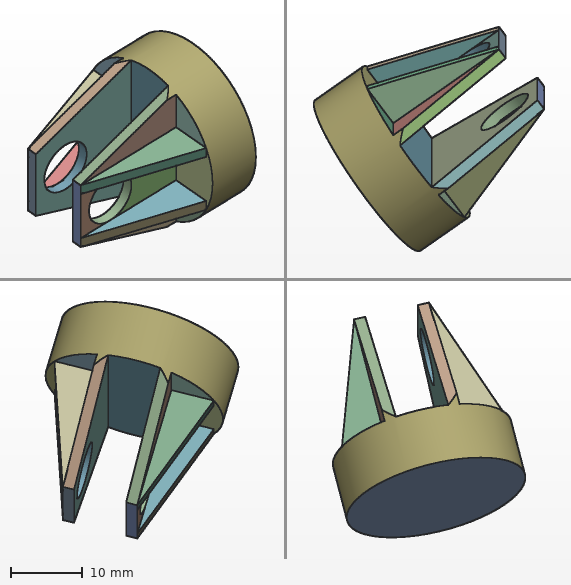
import cadquery as cq
import math

total_length = 26.52
disc_diameter = 25.65
disc_thickness = 8.3
wall = 1.62
lug_gap = 7.5
pin_diameter = 8.1

disc_radius = disc_diameter / 2
lug_length = total_length - disc_thickness
lug_inner = lug_gap / 2
lug_outer = lug_inner + wall
rib_inner = pin_diameter / 2
tip_half_height = rib_inner + wall
pin_y = tip_half_height - lug_length
lug_root_half_height = math.sqrt(disc_radius**2 - lug_inner**2)
rib_root_half_width = math.sqrt(disc_radius**2 - tip_half_height**2)


def cylinder_along_y(start_y, length):
    """Cylinder of the disc's diameter, from start_y toward +Y."""
    return cq.Workplane("XZ", origin=(0, start_y, 0)).circle(disc_radius).extrude(-length)


def lug(side):
    """Tapered plate at one side of the gap (side is -1 or +1), root at y = 0."""
    outline = [
        (0, -lug_root_half_height),
        (-lug_length, -tip_half_height),
        (-lug_length, tip_half_height),
        (0, lug_root_half_height),
    ]
    return (
        cq.Workplane("YZ", origin=(side * lug_inner, 0, 0))
        .polyline(outline)
        .close()
        .extrude(side * wall)
    )


def rib(side, level):
    """Triangular rib outside one lug, at the upper (+1) or lower (-1) level."""
    outline = [
        (side * lug_outer, 0),
        (side * rib_root_half_width, 0),
        (side * lug_outer, -lug_length),
    ]
    return (
        cq.Workplane("XY", origin=(0, 0, level * rib_inner))
        .polyline(outline)
        .close()
        .extrude(level * wall)
    )


clevis = cylinder_along_y(0, disc_thickness)
for side in (-1, 1):
    clevis = clevis.union(lug(side))
    for level in (-1, 1):
        clevis = clevis.union(rib(side, level))

clevis = clevis.intersect(cylinder_along_y(-lug_length, total_length))

pin_hole = (
    cq.Workplane("YZ")
    .center(pin_y, 0)
    .circle(pin_diameter / 2)
    .extrude(lug_outer, both=True)
)
result = clevis.cut(pin_hole)